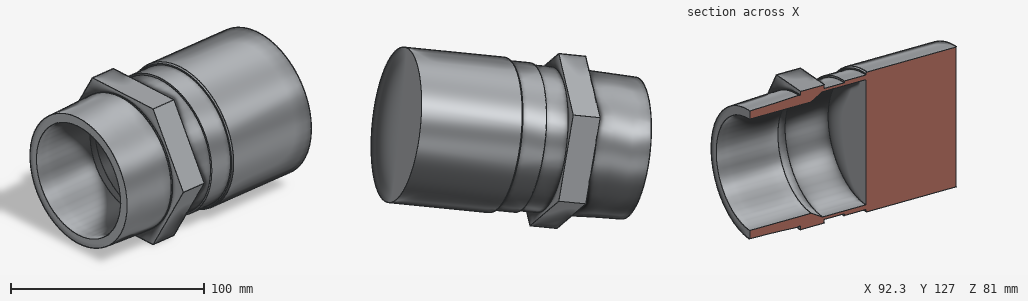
import cadquery as cq

length = 127.0
mouth_y = -length / 2
closed_y = length / 2

sleeve_diameter = 81.0
collar_diameter = 78.0
neck_diameter = 76.0
thread_root_diameter = 76.3
thread_mouth_diameter = 74.0

thread_length = 30.2
relief_length = 1.0
hex_length = 14.7
neck_length = 12.1
collar_length = 13.2
sleeve_chamfer = 0.8

hex_corner_width = 92.3

bore_diameter = 64.0
chamber_diameter = 72.0
bore_depth = 37.8
flare_length = 7.0

thread_end = mouth_y + thread_length
hex_start = thread_end + relief_length
hex_end = hex_start + hex_length
neck_end = hex_end + neck_length
collar_end = neck_end + collar_length


def revolve_profile(points):
    """Turn a closed outline of (radius, y) points about the Y axis."""
    return cq.Workplane("XY").polyline(points).close().revolve(360, (0, 0), (0, 1))


def turned_body():
    """Revolved outside: tapered thread, relief, neck, collar and sleeve."""
    profile = [
        (0, mouth_y),
        (thread_mouth_diameter / 2, mouth_y),
        (thread_root_diameter / 2, thread_end),
        (neck_diameter / 2, thread_end),
        (neck_diameter / 2, neck_end),
        (collar_diameter / 2, neck_end),
        (collar_diameter / 2, collar_end),
        (sleeve_diameter / 2 - sleeve_chamfer, collar_end),
        (sleeve_diameter / 2, collar_end + sleeve_chamfer),
        (sleeve_diameter / 2, closed_y),
        (0, closed_y),
    ]
    return revolve_profile(profile)


def hexagon():
    """Wrench hexagon with two corners on the X axis."""
    plane = cq.Workplane("XZ", origin=(0, hex_start, 0))
    return plane.polygon(6, hex_corner_width).extrude(-hex_length)


def cavity():
    """Revolved inside: mouth bore, conical flare and chamber."""
    bore_end = mouth_y + bore_depth
    flare_end = bore_end + flare_length
    profile = [
        (0, mouth_y),
        (bore_diameter / 2, mouth_y),
        (bore_diameter / 2, bore_end),
        (chamber_diameter / 2, flare_end),
        (chamber_diameter / 2, collar_end),
        (0, collar_end),
    ]
    return revolve_profile(profile)


result = turned_body().union(hexagon()).cut(cavity())